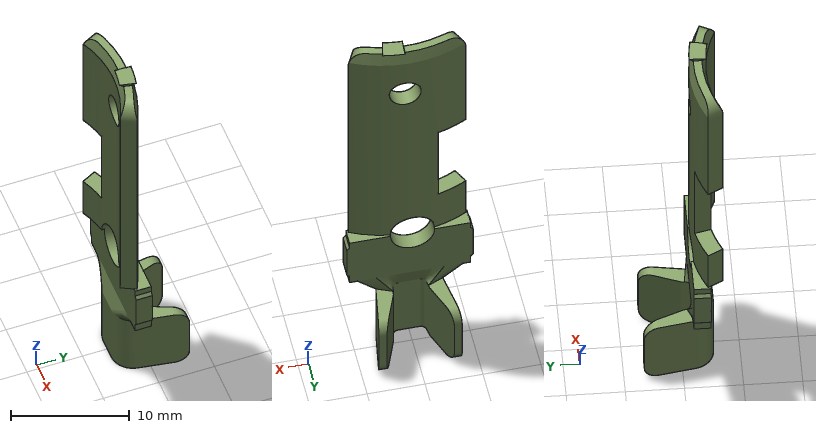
import cadquery as cq
import math

TOTAL_HEIGHT = 36.32
BARREL_TOP = 6.15
PLATE_BOTTOM = 7.88
PLATE_TOP = 13.0
RIM_Z = 36.1

SHEET = 1.45
PLATE_HALF_WIDTH = 10.45 / 2
WING_HALF_WIDTH = 10.95 / 2
WING_BOTTOM = 8.65
WING_TOP = 12.4
WING_CHAMFER_HEIGHT = 0.3

BACK_RADIUS = 11.25
FRONT_RADIUS = BACK_RADIUS - SHEET
BLADE_HALF_WIDTH = 5.1
CORNER_RADIUS = 1.53
BEVEL_HEIGHT = 1.13
BEVEL_DEPTH = 0.35

TAB_LEFT = 0.4
TAB_RIGHT = 2.32

NOTCH_FLOOR_X = -2.5
NOTCH_BOTTOM = 17.1
NOTCH_TOP = 25.05

SMALL_HOLE = (0.4, 31.15)
SMALL_HOLE_DIAMETER = 2.72
LARGE_HOLE = (-0.2, PLATE_TOP)
LARGE_HOLE_DIAMETER = 3.8

FLOOR_Y = -2.0
FLOOR_HALF_WIDTH = 0.95
BEND_RADIUS = 1.95
FLARE = math.radians(9.2)
TAPER_START_Y = 0.58
LEG_TIP_Y = 4.05
LEG_TIP_THICKNESS = 0.7
LEG_CORNER_RADIUS = 1.27

NECK_HALF_WIDTH = 4.55
NECK_FACE_HALF_WIDTH = 2.9
NECK_OUTER_END_Y = -0.3
NECK_INNER_END_Y = 0.3


def blade_angle(x):
    """Angle in degrees around the blade axis at which the back face reaches x."""
    return math.degrees(math.asin(x / BACK_RADIUS))


def blade_sector(profile, x_start, x_end):
    """Sweep a closed (radius, z) profile around the blade axis from x_start to x_end."""
    start = blade_angle(x_start)
    sweep = blade_angle(x_end) - start
    solid = cq.Workplane("YZ").polyline(profile).close().revolve(sweep, (0, 0), (0, 1))
    return solid.rotate((0, 0, 0), (0, 0, 1), -blade_angle(x_end)).translate((0, -BACK_RADIUS, 0))


def band(inner, outer, bottom, top):
    """Rectangular (radius, z) profile."""
    return [(inner, bottom), (outer, bottom), (outer, top), (inner, top)]


def make_blade():
    """Curved strip with rounded top corners, bevelled rim, shear tab and edge notch."""
    sheet = blade_sector(
        band(FRONT_RADIUS, BACK_RADIUS, PLATE_TOP, RIM_Z), -BLADE_HALF_WIDTH, BLADE_HALF_WIDTH
    )
    top_corners = sheet.faces(">Z").edges("not %CIRCLE")
    sheet = sheet.newObject(top_corners.vals()).fillet(CORNER_RADIUS)

    rim_front = FRONT_RADIUS + BEVEL_DEPTH
    rim_back = BACK_RADIUS - BEVEL_DEPTH
    bevel_start = RIM_Z - BEVEL_HEIGHT
    bevelled = [
        (FRONT_RADIUS, PLATE_TOP),
        (BACK_RADIUS, PLATE_TOP),
        (BACK_RADIUS, bevel_start),
        (rim_back, RIM_Z),
        (rim_front, RIM_Z),
        (FRONT_RADIUS, bevel_start),
    ]
    blade = sheet.intersect(blade_sector(bevelled, -WING_HALF_WIDTH, WING_HALF_WIDTH))

    flared_tab = [
        (rim_front, RIM_Z),
        (rim_back, RIM_Z),
        (BACK_RADIUS, TOTAL_HEIGHT),
        (FRONT_RADIUS, TOTAL_HEIGHT),
    ]
    blade = blade.union(blade_sector(flared_tab, TAB_LEFT, TAB_RIGHT))

    notch = band(FRONT_RADIUS - SHEET, BACK_RADIUS + SHEET, NOTCH_BOTTOM, NOTCH_TOP)
    return blade.cut(blade_sector(notch, -BLADE_HALF_WIDTH - SHEET, NOTCH_FLOOR_X))


def make_plate():
    """Flat plate with a shallow chamfered wing on each side."""
    right_edge = [
        (PLATE_HALF_WIDTH, PLATE_BOTTOM),
        (PLATE_HALF_WIDTH, WING_BOTTOM),
        (WING_HALF_WIDTH, WING_BOTTOM + WING_CHAMFER_HEIGHT),
        (WING_HALF_WIDTH, WING_TOP - WING_CHAMFER_HEIGHT),
        (PLATE_HALF_WIDTH, WING_TOP),
        (PLATE_HALF_WIDTH, PLATE_TOP),
    ]
    left_edge = [(-x, z) for x, z in reversed(right_edge)]
    return cq.Workplane("XZ").polyline(right_edge + left_edge).close().extrude(SHEET)


def bend_point(radius, angle):
    """Point of the right-hand barrel bend at an angle from +X, around the bend centre."""
    x = FLOOR_HALF_WIDTH + radius * math.cos(angle)
    y = FLOOR_Y + BEND_RADIUS + radius * math.sin(angle)
    return (x, y)


INNER_BEND_RADIUS = BEND_RADIUS - SHEET
BEND_MIDDLE = (-FLARE - math.pi / 2) / 2
OUTER_BEND_END = bend_point(BEND_RADIUS, -FLARE)
INNER_BEND_END = bend_point(INNER_BEND_RADIUS, -FLARE)


def on_leg(bend_end, y):
    """Point at the given y on the flared straight leg that leaves bend_end."""
    return (bend_end[0] + (y - bend_end[1]) * math.tan(FLARE), y)


def mirrored(point):
    """Point reflected across the plane X = 0."""
    return (-point[0], point[1])


def u_section(workplane, right_end):
    """U-shaped strip outline; right_end runs from the outer leg face to the inner one."""
    outer_middle = bend_point(BEND_RADIUS, BEND_MIDDLE)
    inner_middle = bend_point(INNER_BEND_RADIUS, BEND_MIDDLE)
    outer_floor = (FLOOR_HALF_WIDTH, FLOOR_Y)
    inner_floor = (FLOOR_HALF_WIDTH, FLOOR_Y + SHEET)

    outline = workplane.moveTo(*outer_floor).threePointArc(outer_middle, OUTER_BEND_END)
    for point in right_end + [INNER_BEND_END]:
        outline = outline.lineTo(*point)
    outline = outline.threePointArc(inner_middle, inner_floor).lineTo(*mirrored(inner_floor))
    outline = outline.threePointArc(mirrored(inner_middle), mirrored(INNER_BEND_END))
    for point in right_end[::-1] + [OUTER_BEND_END]:
        outline = outline.lineTo(*mirrored(point))
    return outline.threePointArc(mirrored(outer_middle), mirrored(outer_floor)).close()


def make_barrel():
    """Crimp barrel whose legs thin towards rounded tips."""
    outer_tip = on_leg(OUTER_BEND_END, LEG_TIP_Y)
    inner_tip = (outer_tip[0] - LEG_TIP_THICKNESS, LEG_TIP_Y)
    taper_start = on_leg(INNER_BEND_END, TAPER_START_Y)
    section = u_section(cq.Workplane("XY"), [outer_tip, inner_tip, taper_start])
    return section.extrude(BARREL_TOP).faces(">Y").edges("not |Z").fillet(LEG_CORNER_RADIUS)


def make_neck():
    """Ruled transition from the U section up to a flat rectangle under the plate."""
    leg_end = [on_leg(OUTER_BEND_END, NECK_OUTER_END_Y), on_leg(INNER_BEND_END, NECK_INNER_END_Y)]
    lower = u_section(cq.Workplane("XY", origin=(0, 0, BARREL_TOP)), leg_end)

    inner_face_middle = (NECK_FACE_HALF_WIDTH + FLOOR_HALF_WIDTH) / 2
    right_side = [
        (NECK_FACE_HALF_WIDTH, -SHEET),
        (NECK_HALF_WIDTH, -SHEET),
        (NECK_HALF_WIDTH, 0),
        (NECK_FACE_HALF_WIDTH, 0),
        (inner_face_middle, 0),
        (FLOOR_HALF_WIDTH, 0),
    ]
    left_side = [mirrored(point) for point in reversed(right_side)]
    upper = cq.Workplane("XY", origin=(0, 0, PLATE_BOTTOM)).polyline(right_side + left_side).close()

    wires = [lower.val(), upper.val()]
    return cq.Workplane(cq.Solid.makeLoft(wires, True))


def hole(center, diameter):
    """Cutter along Y, long enough to pass through the curved blade both ways."""
    return cq.Workplane("XZ").center(*center).circle(diameter / 2).extrude(BACK_RADIUS, both=True)


result = make_plate().union(make_blade()).union(make_neck()).union(make_barrel())
result = result.cut(hole(SMALL_HOLE, SMALL_HOLE_DIAMETER))
result = result.cut(hole(LARGE_HOLE, LARGE_HOLE_DIAMETER))